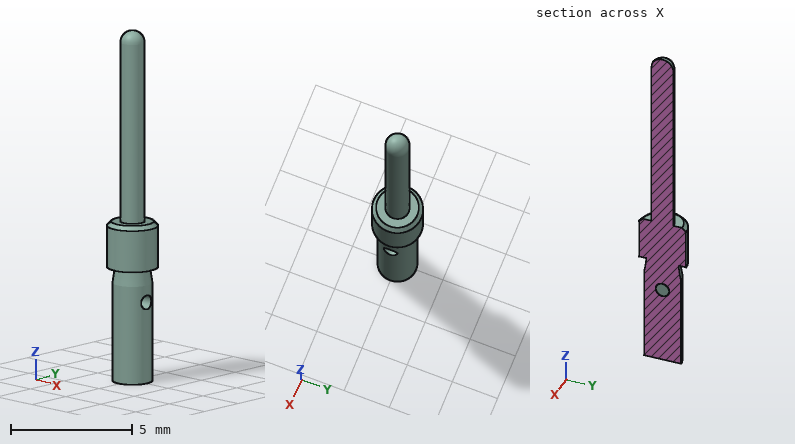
import cadquery as cq

total_length = 14.8

pin_diameter = 1.0
collar_diameter = 2.12
neck_diameter = 1.5
barrel_diameter = 1.66

barrel_top = 4.15
taper_top = 4.68
collar_bottom = 4.81
collar_top = 6.73

collar_chamfer = 0.18

hole_diameter = 0.59
hole_height = 3.43


def make_barrel():
    """Crimp barrel, tapering up to a narrower neck under the collar."""
    barrel = cq.Workplane("XY").circle(barrel_diameter / 2).extrude(barrel_top)
    taper = (
        cq.Workplane("XY", origin=(0, 0, barrel_top))
        .circle(barrel_diameter / 2)
        .workplane(offset=taper_top - barrel_top)
        .circle(neck_diameter / 2)
        .loft()
    )
    neck = (
        cq.Workplane("XY", origin=(0, 0, taper_top))
        .circle(neck_diameter / 2)
        .extrude(collar_bottom - taper_top)
    )
    return barrel.union(taper).union(neck)


def make_collar():
    """Stop collar with a chamfered upper edge."""
    return (
        cq.Workplane("XY", origin=(0, 0, collar_bottom))
        .circle(collar_diameter / 2)
        .extrude(collar_top - collar_bottom)
        .faces(">Z")
        .chamfer(collar_chamfer)
    )


def make_pin():
    """Contact pin with a hemispherical tip."""
    tip_radius = pin_diameter / 2
    dome_base = total_length - tip_radius
    shaft = (
        cq.Workplane("XY", origin=(0, 0, collar_top))
        .circle(tip_radius)
        .extrude(dome_base - collar_top)
    )
    tip = cq.Workplane("XY", origin=(0, 0, dome_base)).sphere(tip_radius)
    return shaft.union(tip)


def make_inspection_hole():
    """Radial cutter running from the barrel axis out through the +X side."""
    return (
        cq.Workplane("YZ", origin=(0, 0, hole_height))
        .circle(hole_diameter / 2)
        .extrude(barrel_diameter)
    )


result = make_barrel().union(make_collar()).union(make_pin()).cut(make_inspection_hole())